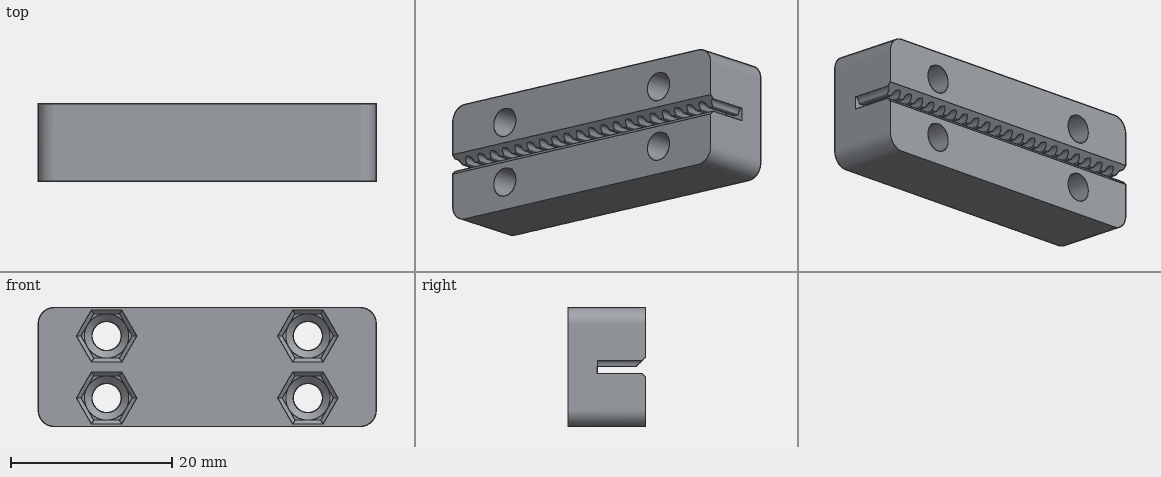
import math

import cadquery as cq

LENGTH = 42.0
HEIGHT = 14.8
CORNER_RADIUS = 2.0

BELT_WIDTH = 6.0
SLOT_GAP = 1.6
SLOT_LEAD_IN = 0.45
FRONT_WALL = 3.65
DEPTH = FRONT_WALL + BELT_WIDTH

TOOTH_PITCH = 2.0
TOOTH_HEIGHT = 0.75
CROWN_RADIUS = 0.555
FLANK_RADIUS = 1.0
FLANK_OFFSET = 0.4
ROOT_RADIUS = 0.15

HOLE_SPACING_X = 25.0
HOLE_SPACING_Z = 7.7
HOLE_DIAMETER = 3.6
NUT_FLATS = 5.5
NUT_POCKET_DEPTH = 4.0
NUT_LEAD_IN_WIDTH = 0.5
NUT_LEAD_IN_DEPTH = 0.5

FRONT_Y = -DEPTH / 2
BACK_Y = DEPTH / 2
SLOT_TOP = SLOT_GAP / 2
SLOT_BOTTOM = -SLOT_GAP / 2
LAND_Z = SLOT_TOP - TOOTH_HEIGHT


def plane_at_y(y):
    """Plane parallel to XZ at the given Y, with its normal pointing to +Y and local y down."""
    return cq.Plane(origin=(0, y, 0), xDir=(1, 0, 0), normal=(0, 1, 0))


def make_body():
    body = cq.Workplane("XY").box(LENGTH, DEPTH, HEIGHT)
    return body.edges("|Y").fillet(CORNER_RADIUS)


def point_on_arc(center, radius, angle):
    return (center[0] + radius * math.cos(angle), center[1] + radius * math.sin(angle))


def make_belt_tooth(x):
    """Room for one belt tooth above the land, centred at x; it reaches down to the slot bottom."""
    crown_center = (0, SLOT_TOP - CROWN_RADIUS)
    flank_center = (-FLANK_OFFSET, LAND_Z)
    root_x = math.sqrt((FLANK_RADIUS + ROOT_RADIUS) ** 2 - ROOT_RADIUS**2) - FLANK_OFFSET
    root_center = (root_x, LAND_Z + ROOT_RADIUS)

    crown_angle = math.atan2(crown_center[1] - LAND_Z, FLANK_OFFSET)
    root_angle = math.asin(ROOT_RADIUS / (FLANK_RADIUS + ROOT_RADIUS))
    root_start_angle = math.pi + root_angle
    root_mid_angle = (root_start_angle + 3 * math.pi / 2) / 2

    land_end = (root_x, LAND_Z)
    root_mid = point_on_arc(root_center, ROOT_RADIUS, root_mid_angle)
    root_end = point_on_arc(flank_center, FLANK_RADIUS, root_angle)
    flank_mid = point_on_arc(flank_center, FLANK_RADIUS, (root_angle + crown_angle) / 2)
    flank_end = point_on_arc(flank_center, FLANK_RADIUS, crown_angle)
    crown = (0, SLOT_TOP)

    def right(point):
        return (x + point[0], point[1])

    def left(point):
        return (x - point[0], point[1])

    profile = (
        cq.Workplane("XZ", origin=(0, BACK_Y, 0))
        .moveTo(*right((root_x, SLOT_BOTTOM)))
        .lineTo(*right(land_end))
        .threePointArc(right(root_mid), right(root_end))
        .threePointArc(right(flank_mid), right(flank_end))
        .threePointArc(right(crown), left(flank_end))
        .threePointArc(left(flank_mid), left(root_end))
        .threePointArc(left(root_mid), left(land_end))
        .lineTo(*left((root_x, SLOT_BOTTOM)))
        .close()
    )
    return profile.extrude(BELT_WIDTH)


def cut_belt_slot(body):
    """Plain gap below the belt land, with a row of tooth cavities above it."""
    gap = cq.Workplane("XY").box(
        LENGTH, BELT_WIDTH, LAND_Z - SLOT_BOTTOM, centered=(True, False, False)
    )
    body = body.cut(gap.translate((0, BACK_Y - BELT_WIDTH, SLOT_BOTTOM)))

    tooth_count = round(LENGTH / TOOTH_PITCH) + 1
    for index in range(tooth_count):
        body = body.cut(make_belt_tooth(-LENGTH / 2 + index * TOOTH_PITCH))
    return body


def cut_slot_lead_in(body):
    """Bevel the slot mouth at 45 degrees; above, the bevel runs down to the belt land."""
    top = SLOT_TOP + SLOT_LEAD_IN
    bottom = SLOT_BOTTOM - SLOT_LEAD_IN
    wedge = (
        cq.Workplane("YZ", origin=(-LENGTH / 2, 0, 0))
        .moveTo(BACK_Y, top)
        .lineTo(BACK_Y - (top - LAND_Z), LAND_Z)
        .lineTo(BACK_Y - SLOT_LEAD_IN, SLOT_BOTTOM)
        .lineTo(BACK_Y, bottom)
        .close()
        .extrude(LENGTH)
    )
    return body.cut(wedge)


def make_nut_pocket(x, z):
    """Screw hole, nut pocket with a chamfered mouth, and a 45 degree cone between them."""
    across_corners = NUT_FLATS / math.cos(math.pi / 6)
    mouth_corners = (NUT_FLATS + 2 * NUT_LEAD_IN_WIDTH) / math.cos(math.pi / 6)
    cone_height = (NUT_FLATS - HOLE_DIAMETER) / 2

    hole = cq.Workplane(plane_at_y(FRONT_Y)).circle(HOLE_DIAMETER / 2).extrude(DEPTH)
    pocket = cq.Workplane(plane_at_y(FRONT_Y)).polygon(6, across_corners).extrude(NUT_POCKET_DEPTH)
    mouth = (
        cq.Workplane(plane_at_y(FRONT_Y))
        .polygon(6, mouth_corners)
        .workplane(offset=NUT_LEAD_IN_DEPTH)
        .polygon(6, across_corners)
        .loft(ruled=True)
    )
    cone = (
        cq.Workplane(plane_at_y(FRONT_Y + NUT_POCKET_DEPTH))
        .circle(NUT_FLATS / 2)
        .workplane(offset=cone_height)
        .circle(HOLE_DIAMETER / 2)
        .loft(ruled=True)
    )
    return hole.union(pocket).union(mouth).union(cone).translate((x, 0, z))


def cut_nut_pockets(body):
    for x in (-HOLE_SPACING_X / 2, HOLE_SPACING_X / 2):
        for z in (-HOLE_SPACING_Z / 2, HOLE_SPACING_Z / 2):
            body = body.cut(make_nut_pocket(x, z))
    return body


result = make_body()
result = cut_belt_slot(result)
result = cut_slot_lead_in(result)
result = cut_nut_pockets(result)